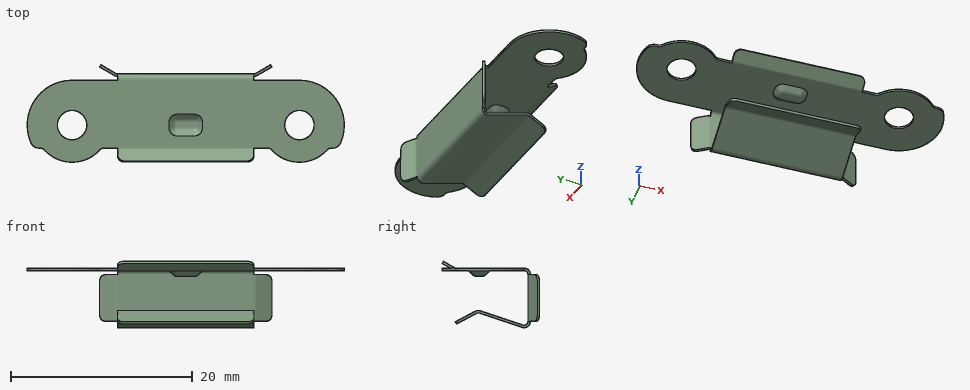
import cadquery as cq
import math

THICKNESS = 0.3
BEND_INNER_RADIUS = 0.4
BEND_OUTER_RADIUS = BEND_INNER_RADIUS + THICKNESS

HOLE_X = 12.5
HOLE_DIAMETER = 3.2
END_RADIUS = 4.95
LOBE_RADIUS = 4.1
PLATE_FRONT_Y = -2.55
PLATE_BACK_Y = END_RADIUS
SHOULDER_RADIUS = 1.0
LOBE_BLEND_RADIUS = 0.6
JOINT_MARGIN = 0.05

CLIP_WIDTH = 15.0
TIP_CORNER_RADIUS = 0.75
LIP_ANGLE = 30.0
LIP_INNER_RADIUS = 0.2
LIP_LENGTH = 1.47
WALL_HEIGHT = 5.17
SPRING_RISE_ANGLE = 18.5
SPRING_FALL_ANGLE = 28.0
SPRING_RISE_LENGTH = 4.95
SPRING_FALL_LENGTH = 2.5
EAR_ANGLE = 30.0
EAR_LENGTH = 1.9

DIMPLE_LENGTH = 3.7
DIMPLE_WIDTH = 2.4
DIMPLE_DEPTH = 0.62
DIMPLE_CORNER_RADIUS = 0.93
DIMPLE_WALL_ANGLE = 47.0
DIMPLE_FLOOR_RADIUS = 0.6


def bent_strip(plane, start, heading, steps, width, inner_radius=BEND_INNER_RADIUS):
    """Extrude a bent sheet of the given width, centred on the plane.

    start is a point on the middle of the sheet and heading its direction in degrees.
    Each step is a pair: ("straight", length) or ("bend", angle), positive angles turning left.
    """
    half = THICKNESS / 2
    middle_radius = inner_radius + half

    def offset(point, direction, distance):
        """Point at a distance to the left of the direction."""
        angle = math.radians(direction + 90)
        return (point[0] + distance * math.cos(angle), point[1] + distance * math.sin(angle))

    point = start
    left = [offset(point, heading, half)]
    right = [offset(point, heading, -half)]
    for kind, size in steps:
        if kind == "straight":
            point = offset(point, heading - 90, size)
        else:
            side = math.copysign(middle_radius, size)
            center = offset(point, heading, side)
            middle_heading = heading + size / 2
            middle_point = offset(center, middle_heading, -side)
            left.append(offset(middle_point, middle_heading, half))
            right.append(offset(middle_point, middle_heading, -half))
            heading += size
            point = offset(center, heading, -side)
        left.append(offset(point, heading, half))
        right.append(offset(point, heading, -half))

    def trace(outline, points, kinds):
        """Draw one face of the strip along its points."""
        index = 0
        for kind in kinds:
            if kind == "straight":
                index += 1
                outline = outline.lineTo(*points[index])
            else:
                outline = outline.threePointArc(points[index + 1], points[index + 2])
                index += 2
        return outline

    kinds = [kind for kind, _ in steps]
    outline = cq.Workplane(plane).moveTo(*left[0])
    outline = trace(outline, left, kinds).lineTo(*right[-1])
    outline = trace(outline, right[::-1], kinds[::-1]).close()
    return outline.extrude(width / 2, both=True)


def make_plate():
    shoulder_x = HOLE_X + math.sqrt(END_RADIUS**2 - PLATE_FRONT_Y**2)
    bar = (
        cq.Workplane("XY")
        .moveTo(-HOLE_X, PLATE_BACK_Y)
        .lineTo(HOLE_X, PLATE_BACK_Y)
        .threePointArc((HOLE_X + END_RADIUS, 0), (shoulder_x, PLATE_FRONT_Y))
        .lineTo(-shoulder_x, PLATE_FRONT_Y)
        .threePointArc((-HOLE_X - END_RADIUS, 0), (-HOLE_X, PLATE_BACK_Y))
        .close()
        .extrude(THICKNESS)
        .edges("|Z and <Y")
        .fillet(SHOULDER_RADIUS)
    )
    hole_centers = [(-HOLE_X, 0), (HOLE_X, 0)]
    lobes = cq.Workplane("XY").pushPoints(hole_centers).circle(LOBE_RADIUS).extrude(THICKNESS)
    holes = cq.Workplane("XY").pushPoints(hole_centers).circle(HOLE_DIAMETER / 2).extrude(THICKNESS)
    joint_offset = math.sqrt(LOBE_RADIUS**2 - PLATE_FRONT_Y**2)
    joints = cq.selectors.BoxSelector(
        (-HOLE_X - joint_offset - JOINT_MARGIN, PLATE_FRONT_Y - JOINT_MARGIN, 0),
        (HOLE_X + joint_offset + JOINT_MARGIN, PLATE_FRONT_Y + JOINT_MARGIN, THICKNESS),
    )
    return bar.union(lobes).edges("|Z").edges(joints).fillet(LOBE_BLEND_RADIUS).cut(holes)


def make_lip():
    """Upturned lip on the front edge of the plate."""
    steps = [("bend", -LIP_ANGLE), ("straight", LIP_LENGTH)]
    lip = bent_strip("YZ", (PLATE_FRONT_Y, THICKNESS / 2), 180, steps, CLIP_WIDTH, LIP_INNER_RADIUS)
    return lip.faces("<Y").edges("<X or >X").fillet(TIP_CORNER_RADIUS)


def make_clip():
    """Back wall and the spring leaf that returns under the plate."""
    steps = [
        ("bend", -90),
        ("straight", WALL_HEIGHT),
        ("bend", -90 - SPRING_RISE_ANGLE),
        ("straight", SPRING_RISE_LENGTH),
        ("bend", SPRING_RISE_ANGLE + SPRING_FALL_ANGLE),
        ("straight", SPRING_FALL_LENGTH),
    ]
    clip = bent_strip("YZ", (PLATE_BACK_Y, THICKNESS / 2), 0, steps, CLIP_WIDTH)
    return clip.faces("<Y").edges("<X or >X").fillet(TIP_CORNER_RADIUS)


def make_ears():
    """Wings at both ends of the back wall, bent backwards."""
    wall_middle_y = PLATE_BACK_Y + BEND_OUTER_RADIUS - THICKNESS / 2
    wall_middle_z = -BEND_INNER_RADIUS - WALL_HEIGHT / 2
    steps = [("bend", EAR_ANGLE), ("straight", EAR_LENGTH)]
    ear = bent_strip("XY", (CLIP_WIDTH / 2, wall_middle_y), 0, steps, WALL_HEIGHT)
    ear = ear.faces(">X").edges("<Z or >Z").fillet(TIP_CORNER_RADIUS)
    ear = ear.translate((0, 0, wall_middle_z))
    return ear.union(ear.mirror("YZ"))


def dimple_form(top_z):
    """Tapered, round-bottomed block that narrows downwards from top_z."""
    rim = cq.Sketch().rect(DIMPLE_LENGTH, DIMPLE_WIDTH).vertices().fillet(DIMPLE_CORNER_RADIUS)
    block = cq.Workplane("XY", origin=(0, 0, top_z)).placeSketch(rim)
    block = block.extrude(-DIMPLE_DEPTH, taper=DIMPLE_WALL_ANGLE)
    return block.faces("<Z").edges().fillet(DIMPLE_FLOOR_RADIUS)


body = make_plate().union(make_lip()).union(make_clip()).union(make_ears())
result = body.union(dimple_form(0)).cut(dimple_form(THICKNESS))